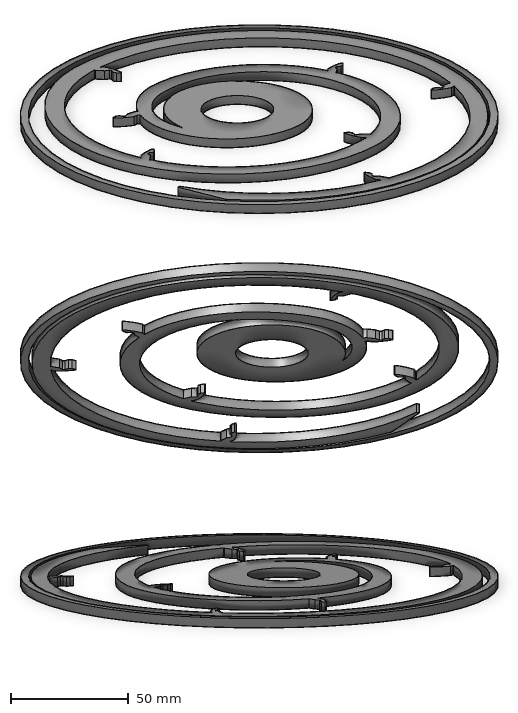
import cadquery as cq

RING_DIAMETER = 203.0
RING_BORE = 196.0
THICKNESS = 4.0

HUB_X = -11.2
HUB_RADIUS = 31.9
HUB_BORE_RADIUS = 15.5

OUTER_CROSS = [-56.0, 60.5, -94.8, 97.6]
OUTER_APEX = [-37.0, 58.0, -76.3, 95.8]

INNER_CROSS = [-48.0, 52.2, -86.3, 90.3]
INNER_APEX = [49.7, -68.2, 87.7]

SLIT_TIP = (-19.0, -30.2)
SLIT_OUTER_MIDDLE = (-39.8, -21.7)
SLIT_HUB_MIDDLE = (-33.3, -22.1)

END_LEFT = 16.8
END_RIGHT = 41.2
END_FLAT_Y = -87.0
END_TIP_HEIGHT = 1.5
END_INNER_MIDDLE = (64.8, -61.3)
END_OUTER_MIDDLE = (78.0, -57.5)

FLAME_OUTLINE_DIRECTION = 90.0
FLAME_ROOT_DEPTH = 2.0
FLAME_OUTLINE = [
    (-1.6, 0.0),
    (-2.6, 1.6),
    (-2.6, 5.3),
    (-2.0, 9.0),
    (-1.5, 10.5),
    (-0.8, 10.5),
    (0.2, 9.0),
    (0.5, 7.3),
    (-0.8, 5.9),
    (-0.8, 4.9),
    (1.0, 3.5),
    (1.8, 1.6),
    (2.6, 0.0),
]
FLAMES = [
    (-2.0, 57.7, 90.0),
    (51.5, 5.7, 186.0),
    (-44.0, -28.5, 232.0),
    (-13.4, -67.4, 97.0),
    (-85.7, 5.5, 1.0),
    (49.3, 73.7, 240.0),
    (83.8, -30.9, 164.0),
]


def half_turn(path, start_x, end_x, apex_y):
    """Add an arc from one X-axis crossing to the next, through its apex."""
    return path.threePointArc(((start_x + end_x) / 2, apex_y), (end_x, 0))


def make_ring():
    """Plain ring around the spiral, with a narrow gap between them."""
    return (
        cq.Workplane("XY")
        .circle(RING_DIAMETER / 2)
        .circle(RING_BORE / 2)
        .extrude(THICKNESS)
    )


def make_spiral_plate():
    """Hub and spiral band as one plate."""
    hub_left = HUB_X - HUB_RADIUS
    hub_right = HUB_X + HUB_RADIUS
    path = cq.Workplane("XY").moveTo(hub_right, 0)

    crossings = [hub_right] + OUTER_CROSS
    for start_x, end_x, apex_y in zip(crossings, crossings[1:], OUTER_APEX):
        path = half_turn(path, start_x, end_x, apex_y)

    path = (
        path.threePointArc(END_OUTER_MIDDLE, (END_RIGHT, END_FLAT_Y))
        .lineTo(END_LEFT, END_FLAT_Y)
        .lineTo(END_LEFT, END_FLAT_Y + END_TIP_HEIGHT)
        .threePointArc(END_INNER_MIDDLE, (INNER_CROSS[-1], 0))
    )

    crossings = INNER_CROSS[::-1]
    for start_x, end_x, apex_y in zip(crossings, crossings[1:], INNER_APEX[::-1]):
        path = half_turn(path, start_x, end_x, apex_y)

    path = path.threePointArc(SLIT_OUTER_MIDDLE, SLIT_TIP)
    path = path.threePointArc(SLIT_HUB_MIDDLE, (hub_left, 0))
    path = half_turn(path, hub_left, hub_right, HUB_RADIUS)
    return path.close().extrude(THICKNESS)


def make_flame(root_x, root_y, direction):
    """One pointer, turned to its direction, with its root reaching into the band."""
    root_left = FLAME_OUTLINE[0][0]
    root_right = FLAME_OUTLINE[-1][0]
    root = [(root_right, -FLAME_ROOT_DEPTH), (root_left, -FLAME_ROOT_DEPTH)]
    return (
        cq.Workplane("XY")
        .polyline(FLAME_OUTLINE + root)
        .close()
        .extrude(THICKNESS)
        .rotate((0, 0, 0), (0, 0, 1), direction - FLAME_OUTLINE_DIRECTION)
        .translate((root_x, root_y, 0))
    )


def make_spiral():
    """Spiral plate with its pointers and the hub bore."""
    spiral = make_spiral_plate()
    for root_x, root_y, direction in FLAMES:
        spiral = spiral.union(make_flame(root_x, root_y, direction))
    bore = cq.Workplane("XY").center(HUB_X, 0).circle(HUB_BORE_RADIUS).extrude(THICKNESS)
    return spiral.cut(bore)


ring = make_ring()
spiral = make_spiral()

result = cq.Compound.makeCompound([ring.val(), spiral.val()])